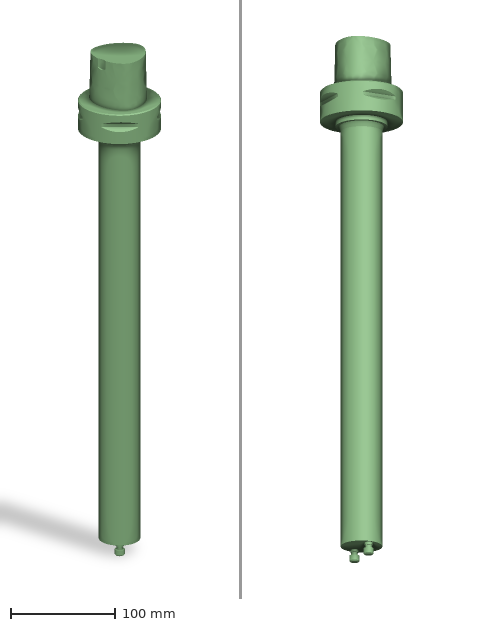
import cadquery as cq
import math

total_length = 516.0
shank_length = 48.0
flange_height = 30.5
neck_height = 4.5
shoulder_height = 5.0
rod_bottom = 12.0

shank_bottom = total_length - shank_length
flange_bottom = shank_bottom - flange_height
neck_bottom = flange_bottom - neck_height
shoulder_bottom = neck_bottom - shoulder_height

flange_radius = 80.0 / 2
flange_chamfer = 1.0
neck_radius = 50.0 / 2
shoulder_radius = 21.5
rod_radius = 40.0 / 2

shank_mean_radius = 28.0
shank_taper = 1.3
lobe_height = 1.75
lobe_count = 3
outline_point_count = 36

notch_width = 11.0
notch_depth = 1.5
notch_side_height = 8.0
notch_height = 10.5

groove_count = 4
groove_drop = 13.0
groove_chord = 36.0
groove_mouth = 10.5
groove_floor = 3.0

pin_offset = rod_radius / 2
pin_radius = 6.0 / 2
pin_head_radius = 10.0 / 2
pin_head_height = 6.0
pin_head_chamfer = 1.0
pin_collar_radius = 3.85
pin_collar_height = 2.5


def make_body():
    """Rod, shoulder, neck and flange as one turned profile."""
    profile = [
        (0, rod_bottom),
        (rod_radius, rod_bottom),
        (rod_radius, shoulder_bottom),
        (shoulder_radius, neck_bottom),
        (neck_radius, neck_bottom),
        (neck_radius, flange_bottom),
        (flange_radius, flange_bottom),
        (flange_radius, shank_bottom - flange_chamfer),
        (flange_radius - flange_chamfer, shank_bottom),
        (0, shank_bottom),
    ]
    return cq.Workplane("XZ").polyline(profile).close().revolve(360, (0, 0), (0, 1))


def shank_outline(mean_radius):
    """Rounded triangle of near-constant width, with one lobe toward +Y."""
    points = []
    for index in range(outline_point_count):
        angle = 2 * math.pi * index / outline_point_count
        reach = mean_radius + lobe_height * math.cos(lobe_count * angle)
        slope = -lobe_count * lobe_height * math.sin(lobe_count * angle)
        along_lobe = reach * math.cos(angle) - slope * math.sin(angle)
        across_lobe = reach * math.sin(angle) + slope * math.cos(angle)
        points.append((-across_lobe, along_lobe))
    return points


def make_shank():
    top_mean_radius = shank_mean_radius - shank_taper
    shank = (
        cq.Workplane("XY", origin=(0, 0, shank_bottom))
        .spline(shank_outline(shank_mean_radius), periodic=True).close()
        .workplane(offset=shank_length)
        .spline(shank_outline(top_mean_radius), periodic=True).close()
        .loft(combine=True)
    )
    arc_radius = ((notch_width / 2) ** 2 + notch_depth ** 2) / (2 * notch_depth)
    flat_side_y = -(top_mean_radius - lobe_height)
    notch = (
        cq.Workplane("XY", origin=(0, 0, total_length - notch_height))
        .center(0, flat_side_y + notch_depth - arc_radius)
        .circle(arc_radius)
        .extrude(notch_height)
    )
    front_shape = (
        cq.Workplane("XZ")
        .moveTo(-notch_width / 2, total_length)
        .lineTo(-notch_width / 2, total_length - notch_side_height)
        .threePointArc((0, total_length - notch_height), (notch_width / 2, total_length - notch_side_height))
        .lineTo(notch_width / 2, total_length)
        .close()
        .extrude(shank_mean_radius + lobe_height)
    )
    return shank.cut(notch.intersect(front_shape))


def make_groove(direction):
    """V-shaped groove crossing the flange square to the given direction."""
    floor_distance = math.sqrt(flange_radius ** 2 - (groove_chord / 2) ** 2)
    groove_z = shank_bottom - groove_drop
    section = [
        (floor_distance, groove_z - groove_floor / 2),
        (flange_radius, groove_z - groove_mouth / 2),
        (flange_radius, groove_z + groove_mouth / 2),
        (floor_distance, groove_z + groove_floor / 2),
    ]
    groove = cq.Workplane("XZ").polyline(section).close().extrude(flange_radius, both=True)
    return groove.rotate((0, 0, 0), (0, 0, 1), direction)


def make_pin(x, y):
    """Headed pin with a collar where it meets the rod."""
    collar_bottom = rod_bottom - pin_collar_height
    head = (
        cq.Workplane("XY", origin=(x, y, 0))
        .circle(pin_head_radius)
        .extrude(pin_head_height)
        .faces("<Z").chamfer(pin_head_chamfer)
    )
    stem = cq.Workplane("XY", origin=(x, y, 0)).circle(pin_radius).extrude(rod_bottom)
    collar = (
        cq.Workplane("XY", origin=(x, y, collar_bottom))
        .circle(pin_collar_radius)
        .extrude(pin_collar_height)
    )
    return head.union(stem).union(collar)


result = make_body().union(make_shank())

for groove_index in range(groove_count):
    groove_direction = 360 / groove_count * (groove_index + 0.5)
    result = result.cut(make_groove(groove_direction))

for side in (-1, 1):
    result = result.union(make_pin(side * pin_offset, -side * pin_offset))